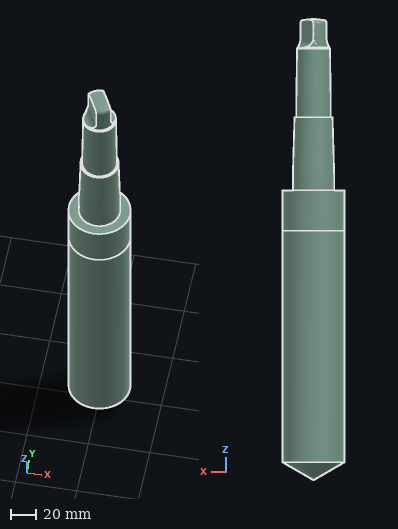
import cadquery as cq
import math

total_height = 369.0
body_diameter = 49.8
body_radius = body_diameter / 2
point_angle = 120.0
point_height = body_radius / math.tan(math.radians(point_angle / 2))

tang_length = 23.0
upper_taper_end = 62.7
groove_end = 78.5
lower_taper_end = 124.0
neck_end = 137.3
collar_end = 169.5

neck_diameter = 33.2
groove_diameter = 27.5
upper_taper_top_diameter = 26.5
lower_taper_top_diameter = 30.5
tang_diameter = 25.0
tang_shoulder_chamfer = 1.0

tang_thickness = 12.0
tang_angle = 28.0
tang_flat_length = 15.5
flat_runout_radius = 8.0
tang_edge_radius = 3.0
tang_top_rise = 1.0

split_height = total_height - collar_end


def make_cutting_body():
    """Plain cylinder with a conical point."""
    outline = (
        cq.Workplane("XZ")
        .moveTo(0, 0)
        .lineTo(body_radius, point_height)
        .lineTo(body_radius, split_height)
        .lineTo(0, split_height)
        .close()
    )
    return outline.revolve(360, (0, 0, 0), (0, 1, 0))


def make_turned_shank():
    """Collar, neck, two tapers with a groove between them, and round tang with a shallow conical top."""
    neck_radius = neck_diameter / 2
    groove_radius = groove_diameter / 2
    tang_radius = tang_diameter / 2
    lower_taper_top_radius = lower_taper_top_diameter / 2
    upper_taper_top_radius = upper_taper_top_diameter / 2
    shoulder_height = total_height - tang_length
    collar_top = total_height - neck_end
    groove_bottom = total_height - groove_end
    arc_offset = tang_edge_radius * math.sqrt(0.5)
    arc_center_radius = tang_radius - tang_edge_radius
    top_edge_height = total_height - tang_top_rise
    arc_center_height = top_edge_height - tang_edge_radius

    outline = (
        cq.Workplane("XZ")
        .moveTo(0, split_height)
        .lineTo(body_radius, split_height)
        .lineTo(body_radius, collar_top)
        .lineTo(neck_radius, collar_top)
        .lineTo(neck_radius, total_height - lower_taper_end)
        .lineTo(lower_taper_top_radius, groove_bottom)
        .lineTo(groove_radius, groove_bottom)
        .lineTo(groove_radius, total_height - upper_taper_end)
        .lineTo(upper_taper_top_radius, shoulder_height - tang_shoulder_chamfer)
        .lineTo(tang_radius, shoulder_height)
        .lineTo(tang_radius, arc_center_height)
        .threePointArc(
            (arc_center_radius + arc_offset, arc_center_height + arc_offset),
            (arc_center_radius, top_edge_height),
        )
        .lineTo(0, total_height)
        .close()
    )
    return outline.revolve(360, (0, 0, 0), (0, 1, 0))


def make_flat_cutter(side):
    """Tool that mills one tang flat and its rounded run-out; side is 1 or -1."""
    flat_offset = tang_thickness / 2
    flat_bottom = total_height - tang_flat_length
    arc_offset = flat_runout_radius * math.sqrt(0.5)
    arc_center_x = flat_offset + flat_runout_radius
    runout_bottom = flat_bottom - flat_runout_radius
    outline = (
        cq.Workplane("XZ")
        .moveTo(side * flat_offset, total_height)
        .lineTo(side * flat_offset, flat_bottom)
        .threePointArc(
            (side * (arc_center_x - arc_offset), flat_bottom - arc_offset),
            (side * arc_center_x, runout_bottom),
        )
        .lineTo(side * body_radius, runout_bottom)
        .lineTo(side * body_radius, total_height)
        .close()
    )
    cutter = outline.extrude(body_radius, both=True)
    return cutter.rotate((0, 0, 0), (0, 0, 1), tang_angle)


def make_shank():
    """Turned shank with the two flats milled on its tang."""
    shank = make_turned_shank()
    for side in (-1, 1):
        shank = shank.cut(make_flat_cutter(side))
    return shank


cutting_body = make_cutting_body()
shank = make_shank()

result = cq.Compound.makeCompound([cutting_body.val(), shank.val()])